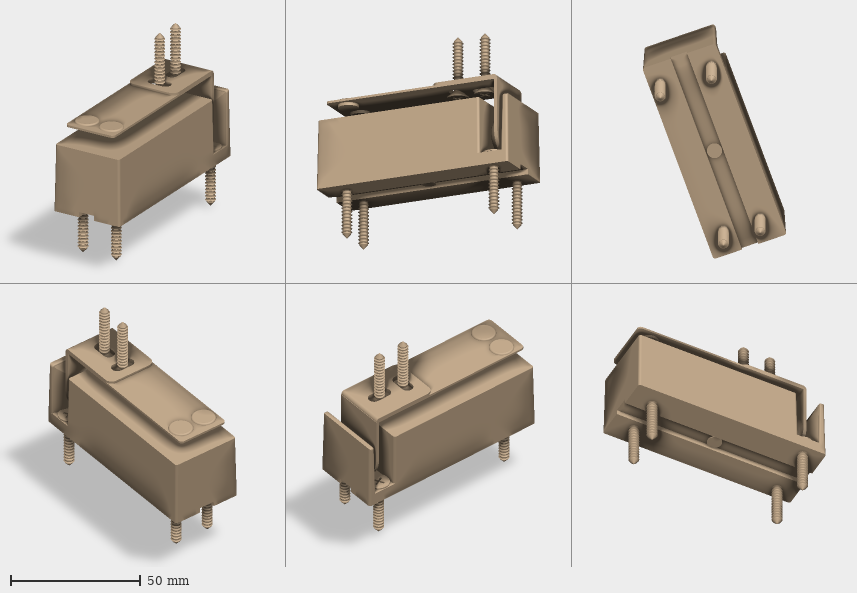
import cadquery as cq
import math


HOUSING_WIDTH = 30.0
HOUSING_LENGTH = 82.0
HOUSING_HEIGHT = 28.0
DRAFT_ANGLE = 1.0
CORNER_RADIUS = 1.0
FLOOR_Z = 5.1
SLOT_FRONT_Y = 28.4
SLOT_REAR_Y = 38.4
WALL_TOP_RADIUS = 0.9
WALL_INNER_RADIUS = 0.6
BULGE_CHORD = 27.9
BULGE_TIP_Y = 35.2
SLOPE_DROP = 7.0
SLOPE_RUN = 2.7
SLOPE_TOP_Z = 27.3
GROOVE_WIDTH = 6.7
GROOVE_DEPTH = 2.1
BUTTON_RADIUS = 2.95
BUTTON_NECK_RADIUS = 1.9
BUTTON_SHOULDER_RADIUS = 2.5
BUTTON_BOTTOM_Z = 0.7
BUTTON_FLANGE = 0.3
BOSS_RADIUS = 2.95
PIVOT_Z = 15.6

BRACKET_WIDTH = 22.0
BRACKET_REAR_Y = 34.5
BRACKET_FRONT_Y = 6.2
UPRIGHT_THICKNESS = 1.3
BRACKET_TOP_Z = 37.6
PLATE_THICKNESS = 1.1
BEND_RADIUS = 1.4
BEND_SETBACK = 0.2
UPRIGHT_ARC_Z = 16.4
BRACKET_CORNER_RADIUS = 3.0
LEAF_THICKNESS = 0.9
LEAF_FRONT_Y = -38.9
LEAF_CORNER_RADIUS = 1.55
OBLONG_LENGTH = 10.1
OBLONG_WIDTH = 4.75
DOME_BASE_RADIUS = 10.3
DOME_CONE_RADIUS = 8.8
DOME_BEVEL_RADIUS = 7.05
DOME_FACE_RADIUS = 6.15
DOME_FLARE_HEIGHT = 1.1
DOME_CONE_HEIGHT = 2.9
DOME_HEIGHT = 3.5
RIVET_SPACING = 11.1
RIVET_Y = -31.65
RIVET_HEAD_RADIUS = 4.9
RIVET_FACE_RADIUS = 3.9
RIVET_HEAD_HEIGHT = 0.6
RIVET_STUD_RADIUS = 4.1
RIVET_STUD_HEIGHT = 1.2

SCREW_LENGTH = 25.1
HEAD_RADIUS = 4.35
HEAD_RIM = 0.6
CONE_RADIUS = 4.1
ROOT_RADIUS = 1.6
CREST_RADIUS = 2.1
RIDGE_WIDTH = 0.65
RIDGE_PITCH = 1.4
RIDGE_COUNT = 14
LAST_RIDGE_TO_TIP = 2.6
TIP_LENGTH = 1.8
DRIVE_SPAN = 4.75
DRIVE_WIDTH = 0.8
DRIVE_DEPTH = 1.2
DRIVE_TURN = -28.0
LOWER_HEAD_Z = 5.8
UPPER_HEAD_Z = 33.6
REAR_SCREW_X = 10.5
REAR_SCREW_Y = 33.0
FRONT_SCREW_X = 7.55
FRONT_SCREW_Y = -31.3
UPPER_SCREW_REAR_Y = 24.2
UPPER_SCREW_FRONT_Y = 12.6

DRAFT_SLOPE = math.tan(math.radians(DRAFT_ANGLE))
SLOT_DEPTH = HOUSING_HEIGHT - FLOOR_Z
SLOT_DRAFT = SLOT_DEPTH * DRAFT_SLOPE
UPRIGHT_FRONT_Y = BRACKET_REAR_Y - UPRIGHT_THICKNESS
LEAF_TOP_Z = BRACKET_TOP_Z - PLATE_THICKNESS
LEAF_BOTTOM_Z = LEAF_TOP_Z - LEAF_THICKNESS
DOME_FACE_Y = UPRIGHT_FRONT_Y - DOME_HEIGHT
CONE_END = HEAD_RIM + CONE_RADIUS - ROOT_RADIUS

LOWER_SCREW_PLACES = [
    (side * x, y)
    for x, y in [(REAR_SCREW_X, REAR_SCREW_Y), (FRONT_SCREW_X, FRONT_SCREW_Y)]
    for side in (-1, 1)
]
UPPER_SCREW_PLACES = [(0, UPPER_SCREW_REAR_Y), (0, UPPER_SCREW_FRONT_Y)]


def revolved(points):
    """Solid of revolution about Z from a closed outline of (radius, z) points."""
    return cq.Workplane("XZ").polyline(points).close().revolve(360, (0, 0, 0), (0, 1, 0))


def drive_recess():
    """Cross recess in the head, sunk from z = 0 upward."""
    slot = cq.Workplane("XY").box(DRIVE_SPAN, DRIVE_WIDTH, DRIVE_DEPTH, centered=(True, True, False))
    cross = slot.union(slot.rotate((0, 0, 0), (0, 0, 1), 90))
    return cross.rotate((0, 0, 0), (0, 0, 1), DRIVE_TURN)


def make_screw():
    """Countersunk screw with ring-shaped thread ridges, head flat at z = 0 and tip at +Z."""
    outline = [
        (0, 0),
        (HEAD_RADIUS, 0),
        (HEAD_RADIUS, HEAD_RIM),
        (CONE_RADIUS, HEAD_RIM),
        (ROOT_RADIUS, CONE_END),
    ]
    first_ridge = SCREW_LENGTH - LAST_RIDGE_TO_TIP - (RIDGE_COUNT - 1) * RIDGE_PITCH
    for index in range(RIDGE_COUNT):
        ridge = first_ridge + index * RIDGE_PITCH
        outline.append((ROOT_RADIUS, ridge - RIDGE_WIDTH / 2))
        outline.append((CREST_RADIUS, ridge))
        outline.append((ROOT_RADIUS, ridge + RIDGE_WIDTH / 2))
    outline.append((ROOT_RADIUS, SCREW_LENGTH - TIP_LENGTH))
    outline.append((0, SCREW_LENGTH))
    return revolved(outline).cut(drive_recess())


def make_screw_seat():
    """Cutter for the hole a screw sits in: countersink for the head and a bore for the thread."""
    cone_to_bore = HEAD_RIM + CONE_RADIUS - CREST_RADIUS
    return revolved([
        (0, 0),
        (HEAD_RADIUS, 0),
        (HEAD_RADIUS, HEAD_RIM),
        (CONE_RADIUS, HEAD_RIM),
        (CREST_RADIUS, cone_to_bore),
        (CREST_RADIUS, SCREW_LENGTH),
        (0, SCREW_LENGTH),
    ])


def pointing_down(shape, place):
    """Copy with its head facing up at the lower screw height."""
    return shape.rotate((0, 0, 0), (0, 1, 0), 180).translate((place[0], place[1], LOWER_HEAD_Z))


def pointing_up(shape, place):
    """Copy with its head facing down at the upper screw height."""
    return shape.translate((place[0], place[1], UPPER_HEAD_Z))


def wall_end_cutter(side):
    """Cutter that rounds one end of the rear wall's top (side is -1 or 1)."""
    draft = math.radians(DRAFT_ANGLE)
    half_top = (math.pi / 2 + draft) / 2
    center_z = HOUSING_HEIGHT - WALL_TOP_RADIUS
    center_x = HOUSING_WIDTH / 2 - center_z * DRAFT_SLOPE - WALL_TOP_RADIUS / math.cos(draft)

    def on_arc(angle):
        return (
            side * (center_x + WALL_TOP_RADIUS * math.cos(angle)),
            center_z + WALL_TOP_RADIUS * math.sin(angle),
        )

    tangent = on_arc(draft)
    return (
        cq.Workplane("XZ", origin=(0, HOUSING_LENGTH / 2, 0))
        .moveTo(side * center_x, HOUSING_HEIGHT)
        .threePointArc(on_arc(half_top), tangent)
        .lineTo(side * HOUSING_WIDTH / 2, tangent[1])
        .lineTo(side * HOUSING_WIDTH / 2, HOUSING_HEIGHT)
        .close()
        .extrude((HOUSING_LENGTH - SLOT_FRONT_Y - SLOT_REAR_Y) / 2)
    )


def housing_blank():
    """Drafted block with rounded upright edges and the cross slot behind the main block."""
    block = cq.Workplane("XY").rect(HOUSING_WIDTH, HOUSING_LENGTH)
    block = block.extrude(HOUSING_HEIGHT, taper=DRAFT_ANGLE)
    slot = (
        cq.Workplane("YZ")
        .polyline([
            (SLOT_FRONT_Y, HOUSING_HEIGHT),
            (SLOT_FRONT_Y + SLOT_DRAFT, FLOOR_Z),
            (SLOT_REAR_Y - SLOT_DRAFT, FLOOR_Z),
            (SLOT_REAR_Y, HOUSING_HEIGHT),
        ])
        .close()
        .extrude(HOUSING_WIDTH, both=True)
    )
    block = block.cut(slot)
    inner_wall_edges = cq.selectors.BoxSelector(
        (-HOUSING_WIDTH, SLOT_REAR_Y - CORNER_RADIUS, FLOOR_Z + CORNER_RADIUS),
        (HOUSING_WIDTH, SLOT_REAR_Y + CORNER_RADIUS, HOUSING_HEIGHT + CORNER_RADIUS),
    )
    upright_edges = cq.selectors.BoxSelector(
        (-HOUSING_WIDTH, -HOUSING_LENGTH, HOUSING_HEIGHT / 4),
        (HOUSING_WIDTH, HOUSING_LENGTH, HOUSING_HEIGHT * 3 / 4),
    )
    block = block.edges(upright_edges - inner_wall_edges).fillet(CORNER_RADIUS)
    for side in (-1, 1):
        block = block.cut(wall_end_cutter(side))
    return block.edges(inner_wall_edges).fillet(WALL_INNER_RADIUS)


def wall_bulge():
    """Curved pad on the inner face of the rear wall, with a sloped top."""
    half_chord = BULGE_CHORD / 2
    sagitta = SLOT_REAR_Y - SLOT_DRAFT - BULGE_TIP_Y
    bulge_radius = (half_chord**2 + sagitta**2) / (2 * sagitta)
    pad_height = SLOPE_TOP_Z - FLOOR_Z
    cone = (
        cq.Workplane("XY", origin=(0, BULGE_TIP_Y + bulge_radius, FLOOR_Z))
        .circle(bulge_radius)
        .extrude(pad_height, taper=DRAFT_ANGLE)
    )
    bounds = (
        cq.Workplane("XY", origin=(0, (BULGE_TIP_Y + SLOT_REAR_Y) / 2, FLOOR_Z))
        .rect(BULGE_CHORD, SLOT_REAR_Y - BULGE_TIP_Y)
        .extrude(pad_height)
    )
    above_slope = (
        cq.Workplane("YZ")
        .polyline([
            (SLOT_REAR_Y, SLOPE_TOP_Z),
            (SLOT_REAR_Y - 2 * SLOPE_RUN, SLOPE_TOP_Z - 2 * SLOPE_DROP),
            (SLOT_REAR_Y - 2 * SLOPE_RUN, SLOPE_TOP_Z),
        ])
        .close()
        .extrude(HOUSING_WIDTH, both=True)
    )
    return cone.intersect(bounds).cut(above_slope)


def underside_button():
    """Flanged button on the roof of the underside groove."""
    flange_top = BUTTON_BOTTOM_Z + BUTTON_FLANGE
    return revolved([
        (0, BUTTON_BOTTOM_Z),
        (BUTTON_RADIUS, BUTTON_BOTTOM_Z),
        (BUTTON_RADIUS, flange_top),
        (BUTTON_SHOULDER_RADIUS, flange_top),
        (BUTTON_NECK_RADIUS, GROOVE_DEPTH),
        (0, GROOVE_DEPTH),
    ])


def make_housing():
    groove = cq.Workplane("XY").box(
        GROOVE_WIDTH, HOUSING_LENGTH, GROOVE_DEPTH, centered=(True, True, False)
    )
    boss = (
        cq.Workplane("XZ", origin=(0, DOME_FACE_Y, PIVOT_Z))
        .circle(BOSS_RADIUS)
        .extrude(DOME_FACE_Y - SLOT_FRONT_Y + SLOT_DRAFT)
    )
    housing = housing_blank().union(wall_bulge()).cut(groove).union(boss).union(underside_button())
    seat = make_screw_seat()
    for place in LOWER_SCREW_PLACES:
        housing = housing.cut(pointing_down(seat, place))
    return housing


def bent_plate():
    """L-shaped plate: round-ended upright, bend and the short top plate."""
    half_width = BRACKET_WIDTH / 2
    bend_z = BRACKET_TOP_Z - BEND_RADIUS
    bend_rear_y = BRACKET_REAR_Y - BEND_SETBACK
    bend_front_y = bend_rear_y - BEND_RADIUS
    upright = (
        cq.Workplane("XZ", origin=(0, BRACKET_REAR_Y, 0))
        .moveTo(half_width, bend_z)
        .lineTo(half_width, UPRIGHT_ARC_Z)
        .threePointArc((0, UPRIGHT_ARC_Z - half_width), (-half_width, UPRIGHT_ARC_Z))
        .lineTo(-half_width, bend_z)
        .close()
        .extrude(UPRIGHT_THICKNESS)
    )
    bend_reach = BEND_RADIUS * math.sqrt(0.5)
    top = (
        cq.Workplane("YZ")
        .moveTo(BRACKET_FRONT_Y, BRACKET_TOP_Z)
        .lineTo(bend_front_y, BRACKET_TOP_Z)
        .threePointArc(
            (bend_front_y + bend_reach, bend_z + bend_reach),
            (bend_rear_y, bend_z),
        )
        .lineTo(UPRIGHT_FRONT_Y, bend_z)
        .lineTo(UPRIGHT_FRONT_Y, LEAF_TOP_Z)
        .lineTo(BRACKET_FRONT_Y, LEAF_TOP_Z)
        .close()
        .extrude(half_width, both=True)
        .edges("|Z and <Y")
        .fillet(BRACKET_CORNER_RADIUS)
    )
    return upright.union(top)


def leaf():
    """Long thin strip under the top plate, reaching over the housing."""
    return (
        cq.Workplane("XY", origin=(0, 0, LEAF_BOTTOM_Z))
        .moveTo(0, (UPRIGHT_FRONT_Y + LEAF_FRONT_Y) / 2)
        .rect(BRACKET_WIDTH, UPRIGHT_FRONT_Y - LEAF_FRONT_Y)
        .extrude(LEAF_THICKNESS)
        .edges("|Z and <Y")
        .fillet(LEAF_CORNER_RADIUS)
    )


def dome():
    """Round pad on the inner face of the upright, with a concave flare at its base."""
    flare_width = DOME_BASE_RADIUS - DOME_CONE_RADIUS
    hollow = 1 - math.sqrt(0.5)
    return (
        cq.Workplane("XZ")
        .lineTo(DOME_BASE_RADIUS, 0)
        .threePointArc(
            (DOME_CONE_RADIUS + hollow * flare_width, hollow * DOME_FLARE_HEIGHT),
            (DOME_CONE_RADIUS, DOME_FLARE_HEIGHT),
        )
        .lineTo(DOME_BEVEL_RADIUS, DOME_CONE_HEIGHT)
        .lineTo(DOME_FACE_RADIUS, DOME_HEIGHT)
        .lineTo(0, DOME_HEIGHT)
        .close()
        .revolve(360, (0, 0, 0), (0, 1, 0))
        .rotate((0, 0, 0), (1, 0, 0), 90)
        .translate((0, UPRIGHT_FRONT_Y, PIVOT_Z))
    )


def rivet(x):
    """Contact rivet through the leaf: crowned head above and a plain stud below."""
    head = (
        cq.Workplane("XZ")
        .lineTo(RIVET_HEAD_RADIUS, 0)
        .threePointArc(
            (
                RIVET_FACE_RADIUS + (RIVET_HEAD_RADIUS - RIVET_FACE_RADIUS) * math.sqrt(0.5),
                RIVET_HEAD_HEIGHT * math.sqrt(0.5),
            ),
            (RIVET_FACE_RADIUS, RIVET_HEAD_HEIGHT),
        )
        .lineTo(0, RIVET_HEAD_HEIGHT)
        .close()
        .revolve(360, (0, 0, 0), (0, 1, 0))
        .translate((x, RIVET_Y, LEAF_TOP_Z))
    )
    stud = (
        cq.Workplane("XY", origin=(x, RIVET_Y, LEAF_BOTTOM_Z))
        .circle(RIVET_STUD_RADIUS)
        .extrude(-RIVET_STUD_HEIGHT)
    )
    return head, stud


def oblong(y, angle):
    """Cutter for an oblong hole through the leaf and the top plate."""
    return (
        cq.Workplane("XY", origin=(0, y, LEAF_BOTTOM_Z))
        .slot2D(OBLONG_LENGTH, OBLONG_WIDTH, angle)
        .extrude(LEAF_THICKNESS + PLATE_THICKNESS)
    )


def make_bracket():
    bracket = bent_plate().union(leaf()).union(dome())
    for side in (-1, 1):
        for piece in rivet(side * RIVET_SPACING / 2):
            bracket = bracket.union(piece)
    bracket = bracket.cut(oblong(UPPER_SCREW_REAR_Y, 90)).cut(oblong(UPPER_SCREW_FRONT_Y, 0))
    seat = make_screw_seat()
    for place in UPPER_SCREW_PLACES:
        bracket = bracket.cut(pointing_up(seat, place))
    return bracket


housing = make_housing()
bracket = make_bracket()

screw = make_screw()
screws = [pointing_down(screw, place) for place in LOWER_SCREW_PLACES]
screws += [pointing_up(screw, place) for place in UPPER_SCREW_PLACES]

result = cq.Compound.makeCompound([
    housing.val(),
    bracket.val(),
    *[body.val() for body in screws],
])